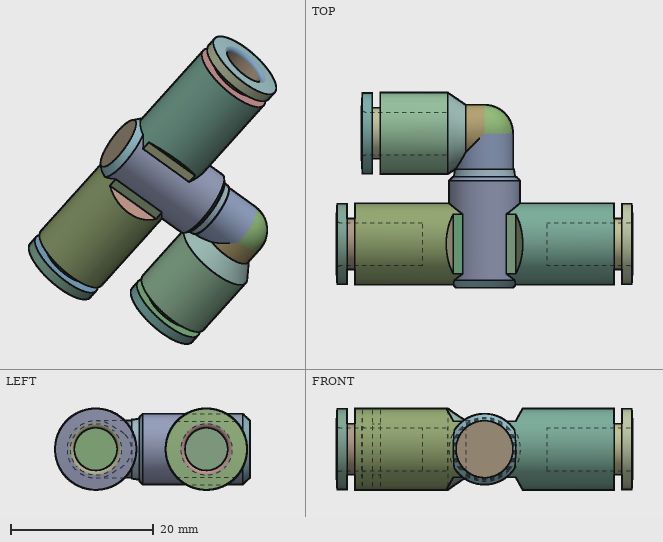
import cadquery as cq
import math


body_radius = 11.5 / 2
collar_radius = 11.4 / 2
neck_radius = 7.2 / 2
bore_radius = 6.0 / 2
lip_height = 0.13
lip_radius = 7.4 / 2
collar_width = 1.4
neck_width = 1.1
bore_depth = 12.1
mouth_radius = neck_radius - bore_radius

overall_length = 41.7
run_half_length = overall_length / 2

notch_flat_height = 3.95
notch_half_width = 4.38
notch_top_half_width = 5.4

stem_radius = 10.0 / 2
stem_start = -6.17
stem_end = 9.42
stem_face_radius = 8.0 / 2
stem_start_chamfer_length = 1.05
stem_end_chamfer = 0.5

overall_width = 27.5
branch_y = stem_start + overall_width - body_radius
branch_end = -17.3
branch_cone_start = -5.15
branch_cone_end = -2.65
elbow_radius = 4.05
ring_base_radius = 4.35
ring_tip_radius = 4.15
ring_end = 10.5


def revolve_about_x(points):
    """Revolve a closed (x, radius) outline about the X axis."""
    return cq.Workplane("XY").polyline(points).close().revolve(360, (0, 0, 0), (1, 0, 0))


def make_port(end_x, body_points):
    """Port opening toward -X; body_points finish its outline down to the axis."""
    collar_front = end_x + lip_height
    collar_back = collar_front + collar_width
    body_front = collar_back + neck_width
    return revolve_about_x(
        [
            (end_x, 0),
            (end_x, lip_radius),
            (collar_front, collar_radius),
            (collar_back, collar_radius),
            (collar_back, neck_radius),
            (body_front, neck_radius),
            (body_front, body_radius),
        ]
        + body_points
    )


def make_bore(end_x):
    """Blind tube bore with a rounded mouth that widens to the neck diameter."""
    mouth_mid = mouth_radius * math.sqrt(0.5)
    return (
        cq.Workplane("XY")
        .moveTo(end_x, 0)
        .lineTo(end_x, neck_radius)
        .threePointArc(
            (end_x + mouth_radius - mouth_mid, neck_radius - mouth_mid),
            (end_x + mouth_radius, bore_radius),
        )
        .lineTo(end_x + bore_depth, bore_radius)
        .lineTo(end_x + bore_depth, 0)
        .close()
        .revolve(360, (0, 0, 0), (1, 0, 0))
    )


def make_run():
    """Two mirrored ports joined at the centre, notched above and below."""
    half = make_port(-run_half_length, [(0, body_radius), (0, 0)])
    run = half.union(half.mirror("YZ"))
    upper_notch = (
        cq.Workplane("XZ")
        .polyline(
            [
                (-notch_half_width, notch_flat_height),
                (notch_half_width, notch_flat_height),
                (notch_top_half_width, body_radius),
                (-notch_top_half_width, body_radius),
            ]
        )
        .close()
        .extrude(body_radius, both=True)
    )
    return run.cut(upper_notch).cut(upper_notch.mirror("XY"))


def make_stem():
    """Chamfered stem with a slightly tapered, narrower ring beyond its end."""
    outline = [
        (0, stem_start),
        (stem_face_radius, stem_start),
        (stem_radius, stem_start + stem_start_chamfer_length),
        (stem_radius, stem_end - stem_end_chamfer),
        (stem_radius - stem_end_chamfer, stem_end),
        (ring_base_radius, stem_end),
        (ring_tip_radius, ring_end),
        (0, ring_end),
    ]
    return cq.Workplane("XY").polyline(outline).close().revolve(360, (0, 0, 0), (0, 1, 0))


def make_branch():
    """Tube port tapering into an elbow with a spherical corner."""
    port = make_port(
        branch_end,
        [
            (branch_cone_start, body_radius),
            (branch_cone_end, elbow_radius),
            (0, elbow_radius),
            (0, 0),
        ],
    ).translate((0, branch_y, 0))
    riser = (
        cq.Workplane("XZ", origin=(0, ring_end, 0))
        .circle(elbow_radius)
        .extrude(ring_end - branch_y)
    )
    corner = cq.Workplane("XY").sphere(elbow_radius).translate((0, branch_y, 0))
    return port.union(riser).union(corner)


run_bore = make_bore(-run_half_length)
branch_bore = make_bore(branch_end).translate((0, branch_y, 0))

result = make_run().union(make_stem()).union(make_branch())
for bore in (run_bore, run_bore.mirror("YZ"), branch_bore):
    result = result.cut(bore)